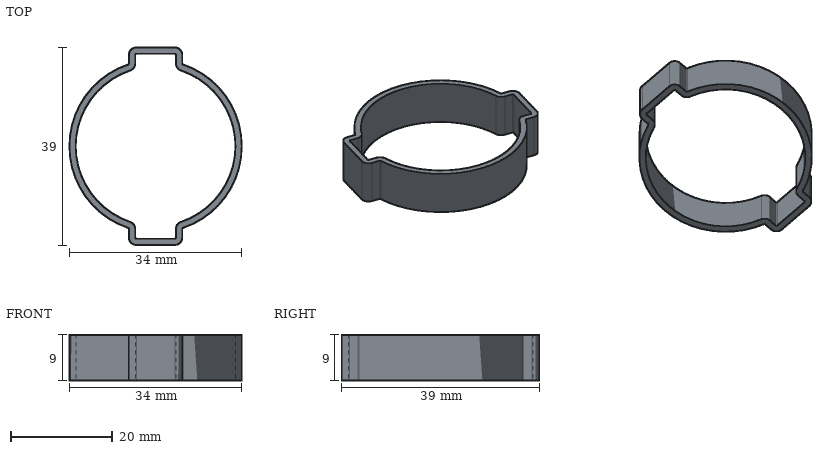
import cadquery as cq

band_height = 9.0
band_thickness = 1.3
ring_diameter = 34.05
ear_span = 39.0
ear_width = 10.55
inside_bend_radius = 0.2
outside_bend_radius = inside_bend_radius + band_thickness


def ring_and_ears(diameter, width, span, ear_corner_radius, ear_root_radius):
    """Solid disc crossed by a bar whose ends form the ears, with all bends rounded."""
    disc = cq.Workplane("XY").circle(diameter / 2).extrude(band_height)
    bar = cq.Workplane("XY").rect(width, span).extrude(band_height)
    bar = bar.edges("|Z").fillet(ear_corner_radius)
    body = disc.union(bar)

    root_y = ((diameter / 2) ** 2 - (width / 2) ** 2) ** 0.5
    for side_x in (-1, 1):
        for side_y in (-1, 1):
            root = (side_x * width / 2, side_y * root_y, band_height / 2)
            root_edge = cq.selectors.NearestToPointSelector(root)
            body = body.edges(root_edge).fillet(ear_root_radius)
    return body


outside = ring_and_ears(
    ring_diameter,
    ear_width,
    ear_span,
    outside_bend_radius,
    inside_bend_radius,
)
inside = ring_and_ears(
    ring_diameter - 2 * band_thickness,
    ear_width - 2 * band_thickness,
    ear_span - 2 * band_thickness,
    inside_bend_radius,
    outside_bend_radius,
)

result = outside.cut(inside)